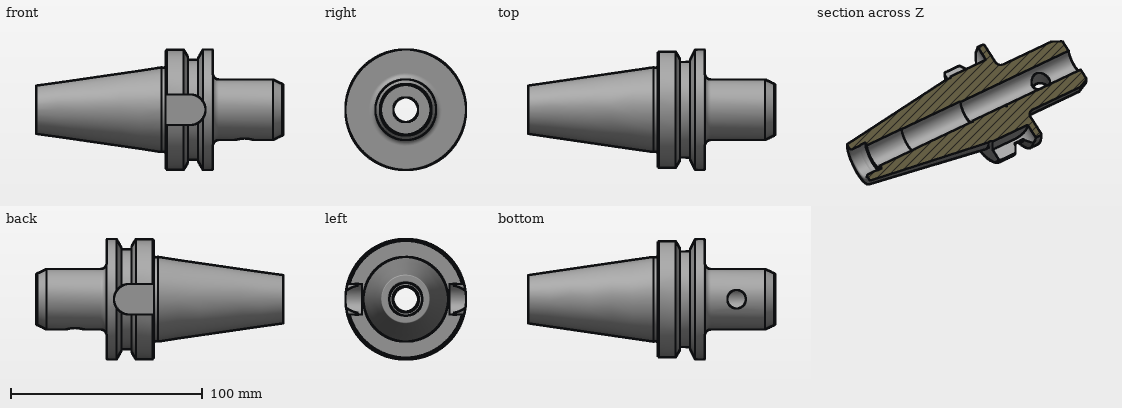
import cadquery as cq

total_length = 128.9
flange_radius = 63.0 / 2

taper_length = 65.4
taper_large_radius = 22.2
taper_rate = 7 / 24 / 2
taper_small_radius = taper_large_radius - taper_length * taper_rate
taper_tip_round = 0.5
neck_radius = 44.0 / 2
neck_step = 0.8
neck_fillet = 0.6

flange_start = 67.4
flange_end = 92.2
flange_edge = 0.9
front_rim_radius = 31.3
groove_start = 77.0
groove_floor_start = 79.3
groove_floor_end = 84.3
groove_end = 87.0
groove_front_radius = 27.5
groove_back_radius = 26.8
groove_floor_radius = 26.2

shank_radius = 31.7 / 2
shank_fillet = 3.1
shank_cone_length = 4.8
shank_end_radius = 13.5
shank_tip_chamfer = 0.6

slot_width = 16.0
slot_floor = 22.7
slot_end = 88.3

pilot_radius = 17.0 / 2
relief_radius = 17.7 / 2
thread_radius = 13.8 / 2
collar_radius = 13.5 / 2
tool_bore_radius = 12.8 / 2
mouth_round = 1.2
pilot_depth = 5.5
relief_start = 6.6
relief_depth = 9.0
thread_depth = 29.6
collar_depth = 64.5

screw_diameter = 9.7
screw_position = 108.7


def revolve_about_x(profile):
    return profile.close().revolve(360, (0, 0, 0), (1, 0, 0))


def make_body():
    tip_radius = taper_small_radius + taper_tip_round * taper_rate
    fillet_end = flange_end + shank_fillet
    cone_end = total_length - shank_tip_chamfer
    profile = (
        cq.Workplane("XY")
        .lineTo(0, tip_radius - taper_tip_round)
        .radiusArc((taper_tip_round, tip_radius), taper_tip_round)
        .lineTo(taper_length, taper_large_radius)
        .lineTo(taper_length + neck_step, neck_radius)
        .lineTo(flange_start - neck_fillet, neck_radius)
        .radiusArc((flange_start, neck_radius + neck_fillet), -neck_fillet)
        .lineTo(flange_start, front_rim_radius - flange_edge)
        .lineTo(flange_start + flange_edge, front_rim_radius)
        .lineTo(groove_start, front_rim_radius)
        .lineTo(groove_floor_start, groove_front_radius)
        .lineTo(groove_floor_start, groove_floor_radius)
        .lineTo(groove_floor_end, groove_floor_radius)
        .lineTo(groove_floor_end, groove_back_radius)
        .lineTo(groove_end, flange_radius)
        .lineTo(flange_end - flange_edge, flange_radius)
        .radiusArc((flange_end, flange_radius - flange_edge), flange_edge)
        .lineTo(flange_end, shank_radius + shank_fillet)
        .radiusArc((fillet_end, shank_radius), -shank_fillet)
        .lineTo(cone_end - shank_cone_length, shank_radius)
        .lineTo(cone_end, shank_end_radius)
        .lineTo(total_length, shank_end_radius - shank_tip_chamfer)
        .lineTo(total_length, 0)
    )
    return revolve_about_x(profile)


def make_bore():
    profile = (
        cq.Workplane("XY")
        .lineTo(0, pilot_radius + mouth_round)
        .radiusArc((mouth_round, pilot_radius), -mouth_round)
        .lineTo(pilot_depth, pilot_radius)
        .lineTo(relief_start, relief_radius)
        .lineTo(relief_depth, relief_radius)
        .lineTo(relief_depth, thread_radius)
        .lineTo(thread_depth, thread_radius)
        .lineTo(thread_depth, collar_radius)
        .lineTo(collar_depth, collar_radius)
        .lineTo(collar_depth, tool_bore_radius)
        .lineTo(total_length, tool_bore_radius)
        .lineTo(total_length, 0)
    )
    return revolve_about_x(profile)


def make_drive_slot(side):
    """Round-ended slot open toward the taper; side is -1 or +1 along Y."""
    round_center = slot_end - slot_width / 2
    depth = flange_radius - slot_floor
    center_y = side * (flange_radius + slot_floor) / 2
    straight_length = round_center - flange_start
    straight = cq.Workplane("XY").box(straight_length, depth, slot_width)
    straight = straight.translate((flange_start + straight_length / 2, center_y, 0))
    rounded = cq.Workplane("XZ").circle(slot_width / 2).extrude(depth / 2, both=True)
    return straight.union(rounded.translate((round_center, center_y, 0)))


def make_screw_hole():
    """Radial hole from the underside to the axial bore."""
    hole = cq.Workplane("XY").circle(screw_diameter / 2).extrude(-shank_radius)
    return hole.translate((screw_position, 0, 0))


result = make_body().cut(make_bore())
for slot_side in (-1, 1):
    result = result.cut(make_drive_slot(slot_side))
result = result.cut(make_screw_hole())